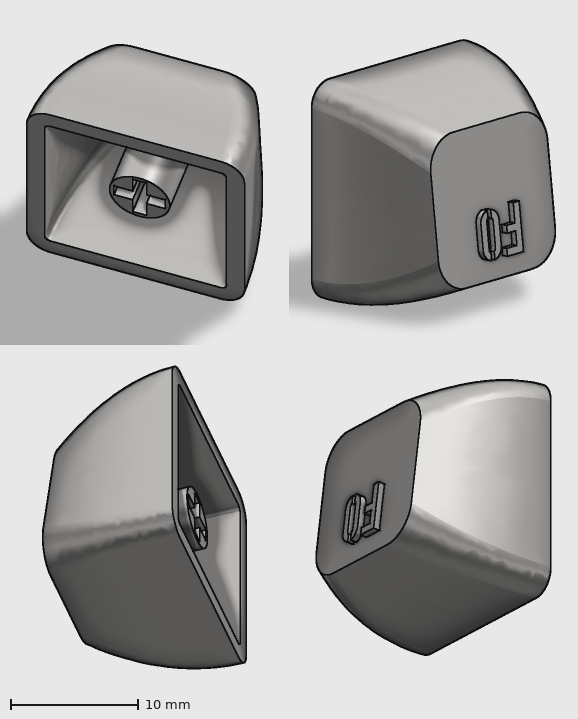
import cadquery as cq
import math


rim_size = 18.1
rim_corner_radius = 2.0
touch_width = 12.72
touch_length = 12.6
touch_corner_radius = 2.75
touch_height = 11.18
tilt = 7.0
wall = 1.5
ceiling_width = 10.75
ceiling_length = 10.65
ceiling_corner_radius = 1.2
mid_fraction = 0.5

stem_diameter = 5.0
stem_recess = 1.0
cross_length = 4.26
cross_width = 1.15
cross_depth = 4.0

glyph_bottom = -4.57
glyph_height = 4.1
glyph_rise = 0.56
stroke = 0.64
f_left = -2.25
f_long_arm = 1.75
f_short_arm = 1.55
f_short_arm_bottom = -2.75
zero_width = 1.97
zero_right = 2.02
zero_gap = 0.37
plate_margin = 0.36
plate_left = -2.39
plate_right = 2.12
plate_thickness = wall / 2


def leaning_plane(height, degrees):
    """Plane across the cap, centred at a height along +Y and facing the rim."""
    angle = math.radians(degrees)
    return cq.Plane(
        origin=(0, height, 0),
        xDir=(1, 0, 0),
        normal=(0, -math.cos(angle), -math.sin(angle)),
    )


touch_plane = leaning_plane(touch_height, tilt)
ceiling_height = touch_height - wall / math.cos(math.radians(tilt))
ceiling_plane = leaning_plane(ceiling_height, tilt)
glyph_length = glyph_rise + wall - plate_thickness


def bowed_body(height, rim_side, rim_radius, end_width, end_length, end_radius):
    """Loft that leaves the rim plane squarely and narrows with the square of the height."""
    sections = []
    for fraction in (0, mid_fraction, 1):
        narrowing = fraction**2
        width = rim_side + (end_width - rim_side) * narrowing
        length = rim_side + (end_length - rim_side) * narrowing
        radius = rim_radius + (end_radius - rim_radius) * narrowing
        place = leaning_plane(height * fraction, tilt * fraction).location
        outline = cq.Sketch().rect(width, length).vertices().fillet(radius)
        sections.append(outline.moved(place))
    return cq.Workplane().placeSketch(*sections).loft()


def make_stem():
    length = touch_height - wall / 2 - stem_recess
    end = cq.Workplane("XZ", origin=(0, stem_recess, 0))
    stem = end.circle(stem_diameter / 2).extrude(-length)
    socket = (
        end.rect(cross_length, cross_width).extrude(-cross_depth)
        .union(end.rect(cross_width, cross_length).extrude(-cross_depth))
    )
    return stem.cut(socket)


def bar(left, bottom, width, height):
    """Straight glyph stroke, from the backing plate up through the touch face."""
    return (
        cq.Workplane(touch_plane)
        .workplane(offset=-glyph_rise)
        .center(left, bottom)
        .rect(width, height, centered=False)
        .extrude(glyph_length)
    )


def make_f():
    return (
        bar(f_left, glyph_bottom, stroke, glyph_height)
        .union(bar(f_left, glyph_bottom, f_long_arm, stroke))
        .union(bar(f_left, f_short_arm_bottom, f_short_arm, stroke))
    )


def make_zero():
    """Stencil zero: a rounded ring split into halves by an upright gap."""
    centre_x = zero_right - zero_width / 2
    ring = (
        cq.Workplane(touch_plane)
        .workplane(offset=-glyph_rise)
        .center(centre_x, glyph_bottom + glyph_height / 2)
        .slot2D(glyph_height, zero_width, 90)
        .slot2D(glyph_height - 2 * stroke, zero_width - 2 * stroke, 90)
        .extrude(glyph_length)
    )
    return ring.cut(bar(centre_x - zero_gap / 2, glyph_bottom, zero_gap, glyph_height))


def make_legend():
    plate = (
        cq.Workplane(ceiling_plane)
        .center(plate_left, glyph_bottom - plate_margin)
        .rect(plate_right - plate_left, glyph_height + 2 * plate_margin, centered=False)
        .extrude(-plate_thickness)
    )
    return plate.union(make_f()).union(make_zero())


def make_cap(legend):
    outside = bowed_body(
        touch_height,
        rim_size,
        rim_corner_radius,
        touch_width,
        touch_length,
        touch_corner_radius,
    )
    cavity = bowed_body(
        ceiling_height,
        rim_size - 2 * wall,
        rim_corner_radius - wall,
        ceiling_width,
        ceiling_length,
        ceiling_corner_radius,
    )
    return outside.cut(cavity).union(make_stem()).cut(legend)


legend = make_legend()
cap = make_cap(legend)
result = cq.Compound.makeCompound([cap.val(), legend.val()])